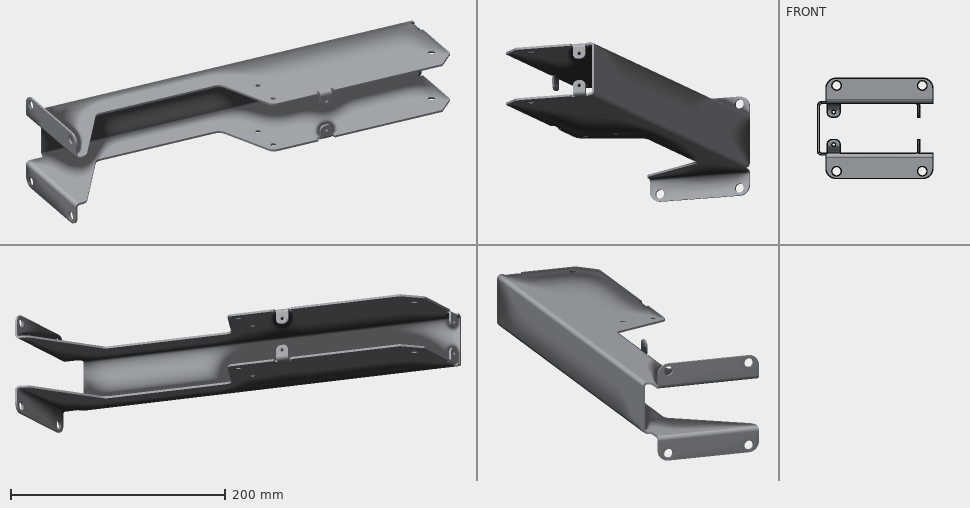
import cadquery as cq

length = 410.0
width = 108.0
height = 94.0
channel_height = 50.0
sheet = 2.0
bend_radius = 4.0
plate_top = channel_height / 2
plate_bottom = plate_top - sheet
cut_depth = 2 * height

wide_edge = 95.5
neck_edge = 36.0
rear_chamfer = 17.2
wide_start = 214.0
neck_end = 190.0
neck_start = 59.0
foot_tip = 11.5
corner_radius = 8.0
foot_radius = 10.0

web_start = 20.0
web_relief = 3.3
flange_width = 100.0
flange_left = width - flange_width
flange_corner = 10.0
flange_hole_diameter = 8.5
flange_hole_spacing = 80.0
flange_hole_height = flange_hole_spacing / 2

tab_width = 12.5
tab_length = 14.8
tab_corner = 5.0
tab_gap = 2.5
notch_corner = 1.2
tab_hole_diameter = 3.3
tab_hole_depth = 10.0
rear_tab_x = 15.0
side_tab_y = 270.5

rear_hole = (69.5, 395.0)
rear_hole_diameter = 6.5
pair_y = 220.0
pair_inner_x = 54.5
pair_spacing = 30.5
pair_diameter = 5.0


def folded_strip(strip_width, leg):
    """Strip centred on X whose bend starts at the origin, runs toward +Y and folds down to Z = -leg."""
    inner = bend_radius - sheet
    quarter = 2 ** -0.5
    outer_mid = (bend_radius * quarter, bend_radius * (quarter - 1))
    inner_mid = (inner * quarter, inner * quarter - bend_radius)
    return (
        cq.Workplane("YZ")
        .moveTo(0, 0)
        .threePointArc(outer_mid, (bend_radius, -bend_radius))
        .lineTo(bend_radius, -leg)
        .lineTo(inner, -leg)
        .lineTo(inner, -bend_radius)
        .threePointArc(inner_mid, (0, -sheet))
        .close()
        .extrude(strip_width / 2, both=True)
    )


def finish_leg(strip, corner, hole_points, hole_diameter):
    """Round the free corners of a folded strip and drill its (X, Z) holes."""
    rounded = strip.faces("<Z").edges("|Y").fillet(corner)
    drills = (
        cq.Workplane("XZ")
        .pushPoints(hole_points)
        .circle(hole_diameter / 2)
        .extrude(cut_depth / 2, both=True)
    )
    return rounded.cut(drills)


def side_plate():
    """Flat part of the upper plate, between the bend lines."""
    plate = (
        cq.Workplane("XY", origin=(0, 0, plate_bottom))
        .polyline([
            (bend_radius, length),
            (wide_edge - rear_chamfer, length),
            (wide_edge, length - rear_chamfer),
            (wide_edge, wide_start),
            (neck_edge, neck_end),
            (neck_edge, neck_start),
            (width, foot_tip),
            (width, bend_radius),
            (flange_left, bend_radius),
            (flange_left, web_start - web_relief),
            (bend_radius, web_start),
        ])
        .close()
        .extrude(sheet)
    )
    rounded_corners = [
        (wide_edge, wide_start, corner_radius),
        (neck_edge, neck_end, corner_radius),
        (neck_edge, neck_start, corner_radius),
        (width, foot_tip, foot_radius),
    ]
    for x, y, radius in rounded_corners:
        corner = cq.selectors.NearestToPointSelector((x, y, plate_top - sheet / 2))
        plate = plate.edges("|Z").edges(corner).fillet(radius)
    return plate


def plate_holes():
    """Drills for the rear hole and the pair beside the neck."""
    rear = cq.Workplane("XY").center(*rear_hole).circle(rear_hole_diameter / 2).extrude(cut_depth)
    pair = (
        cq.Workplane("XY")
        .pushPoints([(pair_inner_x, pair_y), (pair_inner_x + pair_spacing, pair_y)])
        .circle(pair_diameter / 2)
        .extrude(cut_depth)
    )
    return rear.union(pair)


def tab_notches():
    """Notches as deep as the bend, leaving a relief slot beside each tab."""
    opening = tab_width + 2 * tab_gap
    depth = 2 * bend_radius
    rear = cq.Workplane("XY").center(rear_tab_x, length).rect(opening, depth).extrude(cut_depth)
    side = cq.Workplane("XY").center(wide_edge, side_tab_y).rect(depth, opening).extrude(cut_depth)
    return rear.union(side).edges("|Z").fillet(notch_corner)


def tabs():
    """Rear and side tabs, flush with the plate edges they fold from."""
    strip = folded_strip(tab_width, tab_length)
    tab = finish_leg(strip, tab_corner, [(0, -tab_hole_depth)], tab_hole_diameter)
    rear = tab.translate((rear_tab_x, length - bend_radius, plate_top))
    side = tab.rotate((0, 0, 0), (0, 0, 1), -90)
    side = side.translate((wide_edge - bend_radius, side_tab_y, plate_top))
    return rear.union(side)


def half_web():
    """Upper half of the web with its bend."""
    strip = folded_strip(length - web_start, plate_top).rotate((0, 0, 0), (0, 0, 1), 90)
    return strip.translate((bend_radius, (web_start + length) / 2, plate_top))


def mounting_flange():
    """Flange folded outward at the front end, with two mounting holes."""
    hole_z = plate_bottom - flange_hole_height
    holes = [(side * flange_hole_spacing / 2, hole_z) for side in (-1, 1)]
    strip = folded_strip(flange_width, height / 2 - plate_bottom)
    flange = finish_leg(strip, flange_corner, holes, flange_hole_diameter)
    flange = flange.rotate((0, 0, 0), (1, 0, 0), 180)
    return flange.translate((flange_left + flange_width / 2, bend_radius, plate_bottom))


upper_half = (
    side_plate()
    .cut(plate_holes())
    .cut(tab_notches())
    .union(tabs())
    .union(half_web())
    .union(mounting_flange())
)
result = upper_half.union(upper_half.mirror("XY"))